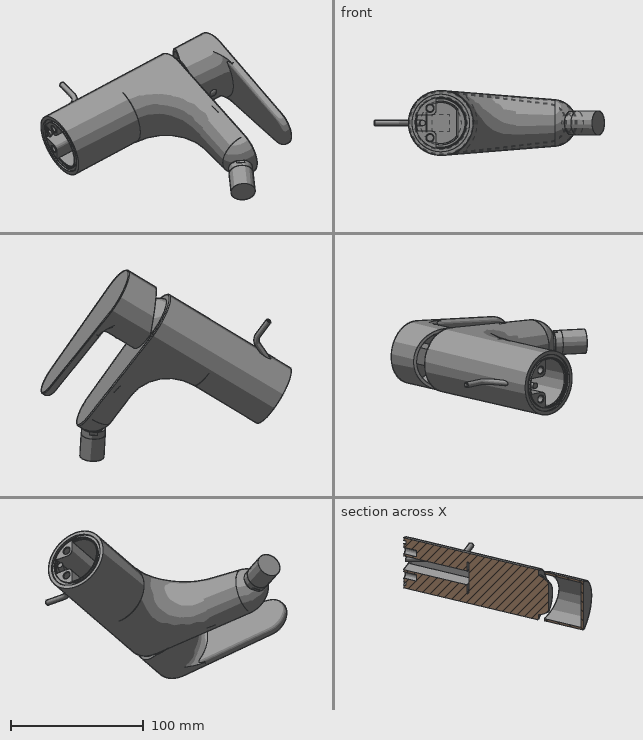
import cadquery as cq
import math


OVERALL_LENGTH = 173.8
MARGIN = 1.7

BODY_RADIUS = 24.5
BODY_TOP = 110.5
TOP_CHAMFER = 0.9
SPOUT_TIP_X = 102.2
SPOUT_TIP_RADIUS = 17.7
SPOUT_TIP_CENTRE_X = SPOUT_TIP_X - SPOUT_TIP_RADIUS
DECK_THICKNESS = 4.0
DECK_BOTTOM = BODY_TOP - DECK_THICKNESS
BELLY_DEPTH = 17.0
BEND_RADIUS = 32.3
BEND_CENTRE_X = BODY_RADIUS + BEND_RADIUS
BEND_CENTRE_Y = DECK_BOTTOM - BELLY_DEPTH - BEND_RADIUS
BEND_STEPS = 6
WEB_OVERLAP = 0.3

DOME_SPHERE_RADIUS = 20.7
DOME_CENTRE_Y = 105.2
DOME_TOP = 118.9
STEM_WIDTH = 13.0

GROOVE_OUTER_RADIUS = 21.7
GROOVE_INNER_RADIUS = 19.3
GROOVE_DEPTH = 1.5
CAVITY_MOUTH_RADIUS = 18.6
CAVITY_MOUTH_DEPTH = 2.0
CAVITY_RADIUS = 18.3
CAVITY_DEPTH = 52.1
BOSS_EDGE_X = -3.5
BOSS_CORNER_RADIUS = 3.8
SLOT_WIDTH = 12.2
FLOOR_POCKET_RADIUS = 16.5
FLOOR_POCKET_LEFT = -11.3
FLOOR_POCKET_RIGHT = 13.0
FLOOR_POCKET_DEPTH = 1.2
FLOOR_POCKET_CHAMFER = 1.0
SCREW_X = -8.2
SCREW_Z = 11.1
SCREW_HOLE_RADIUS = 2.6
SCREW_MOUTH_RADIUS = 3.1
SCREW_HOLE_DEPTH = 10.5

ROD_RADIUS = 2.0
ROD_END_X = -50.4
ROD_Y = 37.7
ROD_BEND_START_X = -35.6
ROD_BEND_RADIUS = 7.6
ROD_BEND_ANGLE = 66.0
ROD_SLANT_LENGTH = 41.7
ROD_TIP_CHAMFER = 0.7

HUB_RADIUS = 24.0
HUB_BOTTOM = 111.6
LEVER_TOP = 147.5
LEVER_EDGE_CHAMFER = 0.7
HUB_CUT_ANGLE = 24.0
HUB_WALL = 2.3
HUB_CEILING = 145.1
HANDLE_TIP_X = 94.9
HANDLE_TIP_RADIUS = 14.8
HANDLE_TIP_CENTRE_X = HANDLE_TIP_X - HANDLE_TIP_RADIUS
HANDLE_THICKNESS = 6.0
HANDLE_BOTTOM = LEVER_TOP - HANDLE_THICKNESS
HANDLE_ROUNDING = 3.1
FLARE_BOTTOM = 135.0
FLARE_RADIUS = 7.8
BUTTON_RADIUS = 3.1
BUTTON_HEIGHT = 1.9
BUTTON_Y = 125.2

AERATOR_TILT = 31.0
AERATOR_RADIUS = 9.2
AERATOR_LENGTH = 24.2
AERATOR_BACK_Y = 97.3
AERATOR_REACH_X = ROD_END_X + OVERALL_LENGTH
COLLAR_RADIUS = 9.0
COLLAR_LENGTH = 5.5
FLAT_LENGTH = 2.5
FLAT_OFFSET = 8.5
NECK_RADIUS = 7.5
NECK_LENGTH = 3.5


def plan(y):
    """Workplane across the tap axis at height y, with local x along X and local y along Z."""
    return cq.Workplane("XZ", origin=(0, y, 0))


def disc(radius, bottom, top):
    return plan(bottom).circle(radius).extrude(bottom - top)


def taper_angle(root_radius, tip_radius, tip_x):
    """Angle of the straight sides tangent to a root circle and a tip circle."""
    return math.asin((root_radius - tip_radius) / tip_x)


def tapered_slab(root_radius, tip_radius, tip_x, bottom, top):
    """Slab between the tangents of a root circle and a tip circle, rounded at the tip only."""
    angle = taper_angle(root_radius, tip_radius, tip_x)
    root = (root_radius * math.sin(angle), root_radius * math.cos(angle))
    tip = (tip_x + tip_radius * math.sin(angle), tip_radius * math.cos(angle))
    return (
        plan(bottom)
        .moveTo(*root)
        .lineTo(*tip)
        .threePointArc((tip_x + tip_radius, 0), (tip[0], -tip[1]))
        .lineTo(root[0], -root[1])
        .close()
        .extrude(bottom - top)
    )



SPOUT_TAPER = taper_angle(BODY_RADIUS, SPOUT_TIP_RADIUS, SPOUT_TIP_CENTRE_X)
SPOUT_SIDE_START_X = BODY_RADIUS * math.sin(SPOUT_TAPER)
SPOUT_SIDE_END_X = SPOUT_TIP_CENTRE_X + SPOUT_TIP_RADIUS * math.sin(SPOUT_TAPER)


def spout_slab(bottom, top):
    return tapered_slab(BODY_RADIUS, SPOUT_TIP_RADIUS, SPOUT_TIP_CENTRE_X, bottom, top)


def spout_half_width(x):
    return (BODY_RADIUS - x * math.sin(SPOUT_TAPER)) / math.cos(SPOUT_TAPER)


def bend_depth(angle):
    """Depth of the rounded section, from the body (0 degrees) to the level spout (90 degrees)."""
    start_depth = BODY_RADIUS - SPOUT_SIDE_START_X
    return BELLY_DEPTH + (start_depth - BELLY_DEPTH) * (1 - math.sin(angle))


def bend_point(angle, radius):
    return (BEND_CENTRE_X - radius * math.cos(angle), BEND_CENTRE_Y + radius * math.sin(angle))


def belly_section(x, y, angle, depth):
    """Half ellipse whose straight side is centred on (x, y) and lies across the spout."""
    plane = cq.Plane(
        origin=(x, y, 0),
        xDir=(math.cos(angle), -math.sin(angle), 0),
        normal=(math.sin(angle), math.cos(angle), 0),
    )
    return (
        cq.Workplane(plane)
        .ellipseArc(depth, spout_half_width(x), -90, 90, startAtCurrent=False)
        .close()
        .wire()
        .val()
    )


def make_bend():
    angles = [math.radians(90 * step / BEND_STEPS) for step in range(BEND_STEPS + 1)]
    sections = []
    web_curve = []
    for angle in angles:
        depth = bend_depth(angle)
        sections.append(belly_section(*bend_point(angle, BEND_RADIUS + depth), angle, depth))
        web_curve.append(bend_point(angle, BEND_RADIUS + depth - WEB_OVERLAP))
    rounded = cq.Workplane(cq.Solid.makeLoft(sections))
    web_profile = (
        cq.Workplane("XY")
        .moveTo(*web_curve[0])
        .spline(web_curve[1:], includeCurrent=True)
        .lineTo(BEND_CENTRE_X, DECK_BOTTOM)
        .lineTo(0, DECK_BOTTOM)
        .lineTo(0, BEND_CENTRE_Y)
        .close()
        .extrude(BODY_RADIUS + MARGIN, both=True)
    )
    web = spout_slab(BEND_CENTRE_Y, DECK_BOTTOM).intersect(web_profile)
    return rounded.union(web)


def make_spout():
    level = math.pi / 2
    deck = spout_slab(DECK_BOTTOM, BODY_TOP)
    belly_ends = [
        belly_section(x, DECK_BOTTOM, level, BELLY_DEPTH)
        for x in (BEND_CENTRE_X, SPOUT_SIDE_END_X)
    ]
    belly = cq.Workplane(cq.Solid.makeLoft(belly_ends, True))
    tip = (
        cq.Workplane("XY", origin=(SPOUT_TIP_CENTRE_X, DECK_BOTTOM, 0))
        .ellipseArc(SPOUT_TIP_RADIUS, BELLY_DEPTH, -90, 0, startAtCurrent=False)
        .lineTo(0, 0)
        .close()
        .revolve(360, (0, 0, 0), (0, 1, 0))
    )
    return deck.union(make_bend()).union(belly).union(tip)


def make_cartridge():
    """Truncated dome with a square stem that reaches up to the ceiling of the lever hub."""
    dome = (
        cq.Workplane("XY")
        .sphere(DOME_SPHERE_RADIUS)
        .translate((0, DOME_CENTRE_Y, 0))
        .intersect(disc(BODY_RADIUS, BODY_TOP - MARGIN, DOME_TOP))
    )
    stem_foot = DOME_TOP - MARGIN
    stem = plan(stem_foot).rect(STEM_WIDTH, STEM_WIDTH).extrude(stem_foot - HUB_CEILING)
    return dome.union(stem)


def make_base_cavity():
    """Ring groove, cavity with two bosses and a slot between them, and the pocket in its floor."""
    groove = plan(0).circle(GROOVE_OUTER_RADIUS).circle(GROOVE_INNER_RADIUS).extrude(-GROOVE_DEPTH)
    main = (
        plan(0)
        .rect(2 * BODY_RADIUS, 2 * BODY_RADIUS)
        .extrude(-CAVITY_DEPTH)
        .translate((BODY_RADIUS + BOSS_EDGE_X, 0, 0))
    )
    slot = (
        plan(0)
        .center(-BODY_RADIUS / 2, 0)
        .rect(BODY_RADIUS, SLOT_WIDTH)
        .extrude(-CAVITY_DEPTH)
    )
    corners = cq.selectors.BoxSelector(
        (BOSS_EDGE_X - MARGIN, 0, -SLOT_WIDTH),
        (BOSS_EDGE_X + MARGIN, CAVITY_DEPTH, SLOT_WIDTH),
    )
    cavity = main.union(slot).edges("|Y").edges(corners).fillet(BOSS_CORNER_RADIUS)
    cavity = cavity.intersect(
        disc(CAVITY_MOUTH_RADIUS, 0, CAVITY_MOUTH_DEPTH).union(disc(CAVITY_RADIUS, 0, CAVITY_DEPTH))
    )
    pocket_top = CAVITY_DEPTH + FLOOR_POCKET_DEPTH
    pocket = (
        plan(0)
        .center((FLOOR_POCKET_LEFT + FLOOR_POCKET_RIGHT) / 2, 0)
        .rect(FLOOR_POCKET_RIGHT - FLOOR_POCKET_LEFT, 2 * BODY_RADIUS)
        .extrude(-pocket_top)
        .intersect(disc(FLOOR_POCKET_RADIUS, CAVITY_DEPTH, pocket_top))
        .faces(">Y")
        .chamfer(FLOOR_POCKET_CHAMFER)
    )
    return groove.union(cavity).union(pocket)


def make_screw_holes():
    mouth_depth = SCREW_MOUTH_RADIUS - SCREW_HOLE_RADIUS
    hole = (
        cq.Workplane("XY")
        .moveTo(0, 0)
        .lineTo(SCREW_MOUTH_RADIUS, 0)
        .lineTo(SCREW_HOLE_RADIUS, mouth_depth)
        .lineTo(SCREW_HOLE_RADIUS, SCREW_HOLE_DEPTH)
        .lineTo(0, SCREW_HOLE_DEPTH)
        .close()
        .revolve(360, (0, 0, 0), (0, 1, 0))
    )
    return [hole.translate((SCREW_X, 0, side * SCREW_Z)) for side in (1, -1)]


def make_rod():
    """Level end, bend and slanted end, cut flat at the base and at the edge of the cavity."""
    bend = math.radians(ROD_BEND_ANGLE)

    def on_bend(angle):
        return (
            ROD_BEND_START_X + ROD_BEND_RADIUS * math.sin(angle),
            ROD_Y - ROD_BEND_RADIUS * (1 - math.cos(angle)),
        )

    end = on_bend(bend)
    slant_end = (
        end[0] + ROD_SLANT_LENGTH * math.cos(bend),
        end[1] - ROD_SLANT_LENGTH * math.sin(bend),
    )
    path = (
        cq.Workplane("XY")
        .moveTo(ROD_END_X, ROD_Y)
        .lineTo(ROD_BEND_START_X, ROD_Y)
        .threePointArc(on_bend(bend / 2), end)
        .lineTo(*slant_end)
    )
    rod = (
        cq.Workplane("YZ", origin=(ROD_END_X, ROD_Y, 0))
        .circle(ROD_RADIUS)
        .sweep(path)
        .faces("<X")
        .chamfer(ROD_TIP_CHAMFER)
    )
    reach = FLOOR_POCKET_LEFT - ROD_END_X
    keep = (
        plan(0)
        .center(ROD_END_X + reach / 2, 0)
        .rect(reach, 4 * ROD_RADIUS)
        .extrude(-ROD_Y - ROD_RADIUS)
    )
    return rod.intersect(keep)


def make_tap_body(aerator):
    column = disc(BODY_RADIUS, 0, BODY_TOP)
    body = column.union(make_spout()).faces(">Y").chamfer(TOP_CHAMFER).union(make_cartridge())
    body = body.cut(make_base_cavity())
    for hole in make_screw_holes():
        body = body.cut(hole)
    return body.union(make_rod()).cut(aerator)




def lever_slab(bottom, top):
    return tapered_slab(HUB_RADIUS, HANDLE_TIP_RADIUS, HANDLE_TIP_CENTRE_X, bottom, top)


def make_flare():
    """Concave flare from the hub to the underside of the handle, trimmed to the handle outline."""
    flare_top = HANDLE_BOTTOM + HANDLE_ROUNDING
    outer = HUB_RADIUS + FLARE_RADIUS
    middle = (
        outer - FLARE_RADIUS * math.cos(math.pi / 4),
        FLARE_BOTTOM + FLARE_RADIUS * math.sin(math.pi / 4),
    )
    flare = (
        cq.Workplane("XY")
        .moveTo(0, FLARE_BOTTOM)
        .lineTo(HUB_RADIUS, FLARE_BOTTOM)
        .threePointArc(middle, (outer, FLARE_BOTTOM + FLARE_RADIUS))
        .lineTo(outer, flare_top)
        .lineTo(0, flare_top)
        .close()
        .revolve(360, (0, 0, 0), (0, 1, 0))
    )
    return flare.intersect(lever_slab(FLARE_BOTTOM, flare_top))


def make_button():
    """Shallow spherical cap on the front of the hub."""
    sphere_radius = (BUTTON_RADIUS**2 + BUTTON_HEIGHT**2) / (2 * BUTTON_HEIGHT)
    centre_x = HUB_RADIUS + BUTTON_HEIGHT - sphere_radius
    return cq.Workplane("XY").sphere(sphere_radius).translate((centre_x, BUTTON_Y, 0))


def make_hub_cut():
    """Wedge that slopes the underside of the hub up towards the back."""
    back = -HUB_RADIUS - MARGIN
    return (
        cq.Workplane("XY")
        .moveTo(0, HUB_BOTTOM)
        .lineTo(back, HUB_BOTTOM - back * math.tan(math.radians(HUB_CUT_ANGLE)))
        .lineTo(back, HUB_BOTTOM)
        .close()
        .extrude(HUB_RADIUS + MARGIN, both=True)
    )


def make_lever():
    handle = lever_slab(HANDLE_BOTTOM, LEVER_TOP).faces("<Y").edges().fillet(HANDLE_ROUNDING)
    hub = disc(HUB_RADIUS, HUB_BOTTOM, LEVER_TOP)
    lever = hub.union(handle).faces(">Y").chamfer(LEVER_EDGE_CHAMFER)
    lever = lever.union(make_flare()).union(make_button())
    cavity = disc(HUB_RADIUS - HUB_WALL, HUB_BOTTOM, HUB_CEILING)
    return lever.cut(cavity).cut(make_hub_cut())




def make_aerator():
    """Neck seated in the spout, collar with two flats on its rim, and outlet sleeve."""
    tilt = math.radians(AERATOR_TILT)
    back_x = AERATOR_REACH_X - AERATOR_LENGTH * math.cos(tilt) - AERATOR_RADIUS * math.sin(tilt)
    plane = cq.Plane(
        origin=(back_x, AERATOR_BACK_Y, 0),
        xDir=(0, 0, 1),
        normal=(math.cos(tilt), -math.sin(tilt), 0),
    )

    def stage(radius, start, end):
        return cq.Workplane(plane).workplane(offset=start).circle(radius).extrude(end - start)

    flats = (
        cq.Workplane(plane)
        .rect(2 * FLAT_OFFSET, 2 * COLLAR_RADIUS + MARGIN)
        .extrude(FLAT_LENGTH)
        .intersect(stage(COLLAR_RADIUS, 0, FLAT_LENGTH))
    )
    neck = stage(NECK_RADIUS, -NECK_LENGTH, 0)
    collar = stage(COLLAR_RADIUS, FLAT_LENGTH, COLLAR_LENGTH)
    sleeve = stage(AERATOR_RADIUS, COLLAR_LENGTH, AERATOR_LENGTH)
    return neck.union(flats).union(collar).union(sleeve)


aerator = make_aerator()
tap_body = make_tap_body(aerator)
lever = make_lever()
result = cq.Compound.makeCompound([tap_body.val(), lever.val(), aerator.val()])